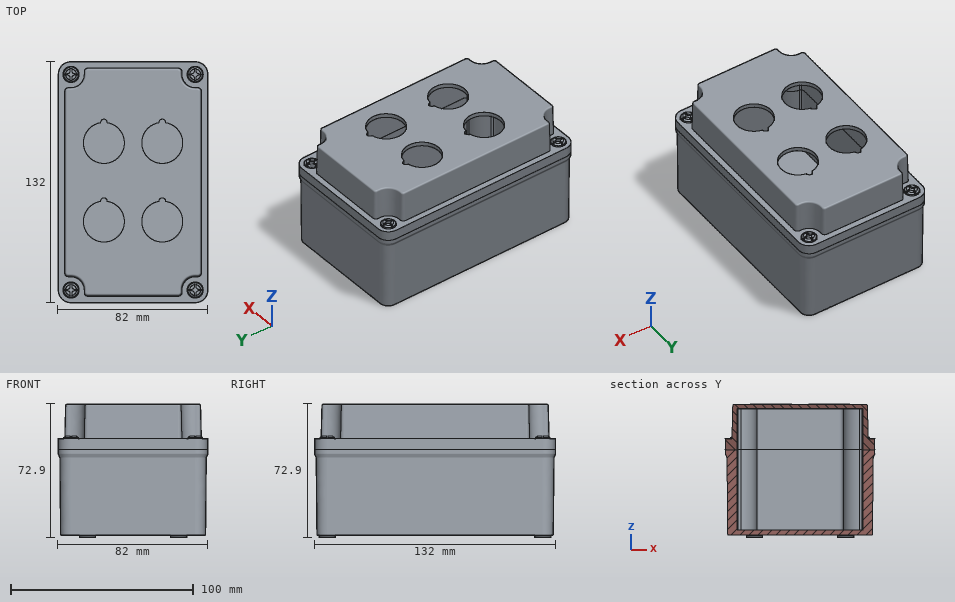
import cadquery as cq
import math

flange_width = 82.0
flange_length = 132.0
corner_radius = 7.0
corner_x = flange_width / 2 - corner_radius
corner_y = flange_length / 2 - corner_radius

foot_height = 1.0
wall_top_z = 43.5
flange_bottom_z = 45.5
seam_z = 48.0
ledge_z = 54.0
cover_top_z = 72.9

wall_inset = 0.86
draft = 0.4
bottom_fillet = 0.7
slope_edge_radius = 0.9
foot_diameter = 9.0
foot_x = 25.0

cover_inset = 3.5
notch_radius = 7.3
cover_edge_radius = 2.0
cover_draft = 0.46
cover_top_fillet = 0.9
wall_thickness = 3.0
cover_thickness = 2.5

hole_diameter = 22.5
key_diameter = 3.5
hole_x = 16.0
hole_y = 21.5

recess_diameter = 8.8
recess_depth = 2.0
head_diameter = 8.0
head_crown_diameter = 6.0
head_rim_height = 0.5
head_height = 1.3
slot_width = 0.73
cross_width = 0.9
cross_length = 6.5
cross_corner_radius = 1.6
drive_depth = 1.0

level_tolerance = 0.01

corners = [(sx * corner_x, sy * corner_y) for sx in (-1, 1) for sy in (-1, 1)]


def rounded_block(inset, bottom_z, height, lean=0.0):
    """Block with rounded corners, set in from the flange side and leaning inward going down."""
    top = (
        cq.Workplane("XY", origin=(0, 0, bottom_z + height))
        .sketch()
        .rect(flange_width - 2 * inset, flange_length - 2 * inset)
        .vertices()
        .fillet(corner_radius - inset)
        .finalize()
    )
    return top.extrude(-height, taper=math.degrees(math.atan2(lean, height)))


def notched_outline(inset, notch, edge_radius, z):
    """Closed rectangle whose corners are cut by arcs around the screws."""
    half_width = flange_width / 2 - inset
    half_length = flange_length / 2 - inset
    notch_x = corner_x - notch
    notch_y = corner_y - notch
    notch_middle = notch * math.sqrt(0.5)
    bend = edge_radius * (1 - math.sqrt(0.5))

    corner = [
        (half_width, notch_y - edge_radius),
        (half_width - bend, notch_y - bend),
        (half_width - edge_radius, notch_y),
        (corner_x, notch_y),
        (corner_x - notch_middle, corner_y - notch_middle),
        (notch_x, corner_y),
        (notch_x, half_length - edge_radius),
        (notch_x - bend, half_length - bend),
        (notch_x - edge_radius, half_length),
    ]
    path = []
    for sx, sy in [(1, 1), (-1, 1), (-1, -1), (1, -1)]:
        points = [(sx * x, sy * y) for x, y in corner]
        path.append(points if sx == sy else points[::-1])

    outline = cq.Workplane("XY", origin=(0, 0, z)).moveTo(*path[-1][-1])
    for points in path:
        outline = outline.lineTo(*points[0]).threePointArc(points[1], points[2])
        outline = outline.lineTo(*points[3]).threePointArc(points[4], points[5])
        outline = outline.lineTo(*points[6]).threePointArc(points[7], points[8])
    return outline.close()


def cavity(bottom_z, top_z):
    """Inner space that follows the cover at one wall thickness."""
    outline = notched_outline(
        cover_inset + wall_thickness, notch_radius + wall_thickness, cover_edge_radius, bottom_z
    )
    return outline.extrude(top_z - bottom_z)


def edges_near_height(z):
    """Selector for all edges lying at one height."""
    return cq.selectors.BoxSelector(
        (-flange_width, -flange_length, z - level_tolerance),
        (flange_width, flange_length, z + level_tolerance),
    )


def make_shell():
    """Solid outside shape of the base, without feet or cavity."""
    wall = rounded_block(wall_inset, foot_height, wall_top_z - foot_height, draft)
    wall = wall.faces("<Z").edges().fillet(bottom_fillet)
    slope = rounded_block(0, wall_top_z, flange_bottom_z - wall_top_z, wall_inset)
    flange = rounded_block(0, flange_bottom_z, seam_z - flange_bottom_z)
    shell = wall.union(slope).union(flange)
    for z in (wall_top_z, flange_bottom_z):
        shell = shell.edges(edges_near_height(z)).fillet(slope_edge_radius)
    return shell


def make_base():
    feet = (
        cq.Workplane("XY")
        .pushPoints([(math.copysign(foot_x, x), y) for x, y in corners])
        .circle(foot_diameter / 2)
        .extrude(foot_height)
    )
    return make_shell().union(feet).cut(cavity(foot_height + wall_thickness, seam_z))


def switch_holes():
    drill = cq.Workplane("XY", origin=(0, 0, seam_z))
    depth = cover_top_z - seam_z
    centers = [(sx * hole_x, sy * hole_y) for sx in (-1, 1) for sy in (-1, 1)]
    keys = [(x, y + hole_diameter / 2) for x, y in centers]
    round_holes = drill.pushPoints(centers).circle(hole_diameter / 2).extrude(depth)
    key_holes = drill.pushPoints(keys).circle(key_diameter / 2).extrude(depth)
    return round_holes.union(key_holes)


def make_lid():
    rim = rounded_block(0, seam_z, ledge_z - seam_z)
    height = cover_top_z - ledge_z
    cover = notched_outline(cover_inset, notch_radius, cover_edge_radius, ledge_z)
    cover = cover.extrude(height, taper=math.degrees(math.atan2(cover_draft, height)))
    cover = cover.faces(">Z").edges().fillet(cover_top_fillet)
    recesses = (
        cq.Workplane("XY", origin=(0, 0, ledge_z))
        .pushPoints(corners)
        .circle(recess_diameter / 2)
        .extrude(-recess_depth)
    )
    body = rim.union(cover).cut(cavity(seam_z, cover_top_z - cover_thickness))
    return body.cut(switch_holes()).cut(recesses)


def drive_recess(top_z):
    """Slot across the head, crossed by a shorter slot, with rounded inner corners."""
    floor = cq.Workplane("XY", origin=(0, 0, top_z - drive_depth))
    slot = floor.rect(head_diameter, slot_width).extrude(drive_depth)
    cross = floor.rect(cross_width, cross_length).extrude(drive_depth)
    inner_corners = cq.selectors.BoxSelector(
        (-cross_width, -slot_width, 0), (cross_width, slot_width, top_z)
    )
    return slot.union(cross).edges("|Z").edges(inner_corners).fillet(cross_corner_radius)


def make_screw(x, y):
    seat_z = ledge_z - recess_depth
    rim_z = ledge_z + head_rim_height
    top_z = ledge_z + head_height
    head = (
        cq.Workplane("XZ")
        .moveTo(0, seat_z)
        .lineTo(head_diameter / 2, seat_z)
        .lineTo(head_diameter / 2, rim_z)
        .lineTo(head_crown_diameter / 2, top_z)
        .lineTo(0, top_z)
        .close()
        .revolve(360, (0, 0), (0, 1))
    )
    return head.cut(drive_recess(top_z)).translate((x, y, 0))


base = make_base()
lid = make_lid()
screws = [make_screw(x, y) for x, y in corners]

result = cq.Compound.makeCompound([base.val(), lid.val(), *[screw.val() for screw in screws]])